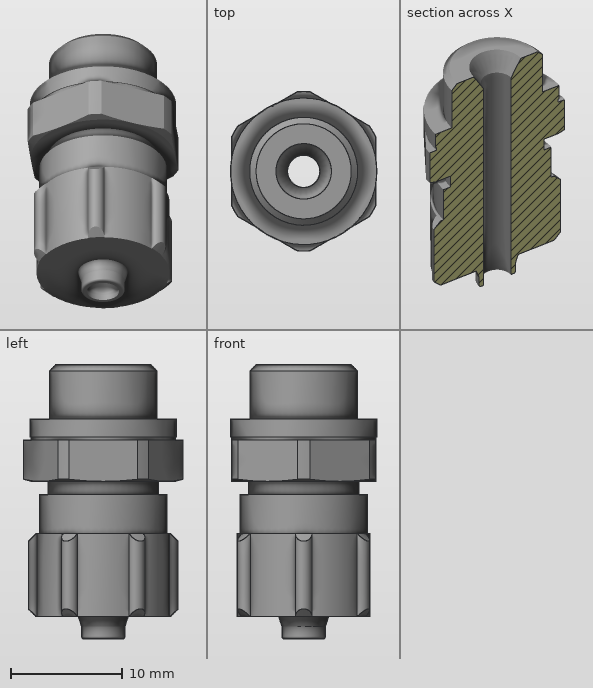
import cadquery as cq
import math

NUT_BOTTOM = 2.0
NUT_TOP = 9.5
COLLAR_TOP = 13.0
HEX_BOTTOM = 14.2
HEX_TOP = 17.9
FLANGE_BOTTOM = 18.2
FLANGE_TOP = 19.8
TOTAL_HEIGHT = 24.7

STEM_DIAMETER = 3.9
STEM_EDGE_RADIUS = 0.2
FLARE_DIAMETER = 4.5
FLARE_BOTTOM = 1.1

NUT_DIAMETER = 12.0
RIB_COUNT = 6
RIB_RADIUS = 0.75
RIB_TIP_DIAMETER = 13.5
RIB_CHAMFER = 0.7

COLLAR_DIAMETER = 11.5
NECK_DIAMETER = 10.0
HEX_ACROSS_FLATS = 13.0
HEX_CORNER_DIAMETER = 14.39
HEX_CHAMFER_ANGLE = 15.0
SEAT_DIAMETER = 13.0
FLANGE_DIAMETER = 13.2

THREAD_DIAMETER = 9.73
THREAD_MINOR_DIAMETER = 8.57

BORE_DIAMETER = 2.9
COUNTERSINK_DIAMETER = 5.0
COUNTERSINK_ANGLE = 60.0


def cylinder(diameter, bottom, top):
    return cq.Workplane("XY").workplane(offset=bottom).circle(diameter / 2).extrude(top - bottom)


def cone(bottom_diameter, top_diameter, bottom, top):
    profile = [
        (0, bottom),
        (bottom_diameter / 2, bottom),
        (top_diameter / 2, top),
        (0, top),
    ]
    return cq.Workplane("XZ").polyline(profile).close().revolve(360, (0, 0), (0, 1))


def hose_stem():
    stem = cylinder(STEM_DIAMETER, 0, NUT_BOTTOM).faces("<Z").edges().fillet(STEM_EDGE_RADIUS)
    return stem.union(cone(STEM_DIAMETER, FLARE_DIAMETER, FLARE_BOTTOM, NUT_BOTTOM))


def union_nut():
    height = NUT_TOP - NUT_BOTTOM
    rib_centre_radius = RIB_TIP_DIAMETER / 2 - RIB_RADIUS
    ribs = (
        cq.Workplane("XY")
        .workplane(offset=NUT_BOTTOM)
        .polarArray(rib_centre_radius, 90, 360, RIB_COUNT)
        .circle(RIB_RADIUS)
        .extrude(height)
    )
    rib_envelope = cylinder(RIB_TIP_DIAMETER, NUT_BOTTOM, NUT_TOP).edges().chamfer(RIB_CHAMFER)
    return cylinder(NUT_DIAMETER, NUT_BOTTOM, NUT_TOP).union(ribs.intersect(rib_envelope))


def hexagon():
    circumscribed_diameter = HEX_ACROSS_FLATS / math.cos(math.radians(30))
    prism = (
        cq.Workplane("XY")
        .workplane(offset=HEX_BOTTOM)
        .polygon(6, circumscribed_diameter)
        .extrude(HEX_TOP - HEX_BOTTOM)
        .rotate((0, 0, 0), (0, 0, 1), 90)
    )
    bevel_width = (HEX_CORNER_DIAMETER - HEX_ACROSS_FLATS) / 2
    bevel_top = HEX_BOTTOM + bevel_width * math.tan(math.radians(HEX_CHAMFER_ANGLE))
    envelope = cone(HEX_ACROSS_FLATS, HEX_CORNER_DIAMETER, HEX_BOTTOM, bevel_top).union(
        cylinder(HEX_CORNER_DIAMETER, bevel_top, HEX_TOP)
    )
    return prism.intersect(envelope)


def threaded_spigot():
    lead_in = (THREAD_DIAMETER - THREAD_MINOR_DIAMETER) / 2
    return cylinder(THREAD_DIAMETER, FLANGE_TOP, TOTAL_HEIGHT).faces(">Z").edges().chamfer(lead_in)


def bore():
    half_angle = math.radians(COUNTERSINK_ANGLE / 2)
    depth = (COUNTERSINK_DIAMETER - BORE_DIAMETER) / 2 / math.tan(half_angle)
    countersink = cone(BORE_DIAMETER, COUNTERSINK_DIAMETER, TOTAL_HEIGHT - depth, TOTAL_HEIGHT)
    return cylinder(BORE_DIAMETER, 0, TOTAL_HEIGHT).union(countersink)


result = (
    hose_stem()
    .union(union_nut())
    .union(cylinder(COLLAR_DIAMETER, NUT_TOP, COLLAR_TOP))
    .union(cylinder(NECK_DIAMETER, COLLAR_TOP, HEX_BOTTOM))
    .union(hexagon())
    .union(cylinder(SEAT_DIAMETER, HEX_TOP, FLANGE_BOTTOM))
    .union(cylinder(FLANGE_DIAMETER, FLANGE_BOTTOM, FLANGE_TOP))
    .union(threaded_spigot())
    .cut(bore())
)